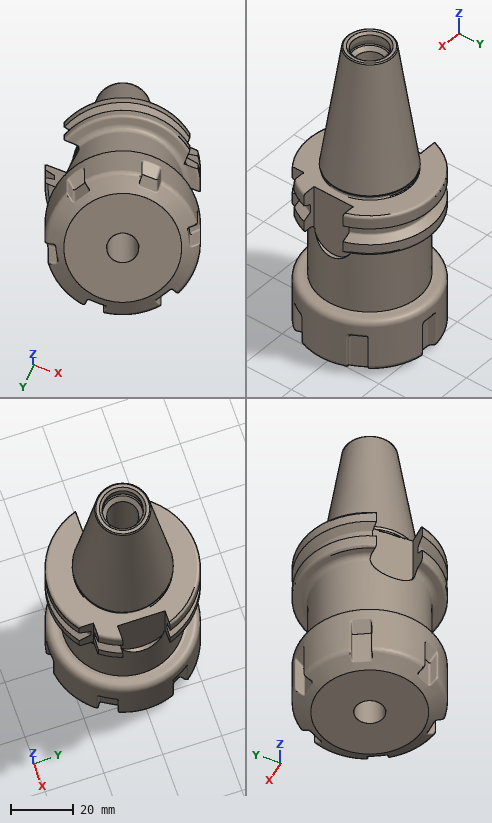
import cadquery as cq
import math

SHANK_TOP = 47.8
SHANK_TIP_RADIUS = 9.05
SHANK_TIP_CHAMFER = 0.4
SHANK_BASE = -1.3
SHANK_BASE_RADIUS = 16.25

NECK_RADIUS = 15.85
NECK_CONE_HEIGHT = 0.8
NECK_FILLET = 0.3

FLANGE_RADIUS = 25.0
FLANGE_TOP = -3.2
FLANGE_BOTTOM = -19.1
FLANGE_FILLET = 1.0
GROOVE_RADIUS = 21.95
GROOVE_CENTRE = -11.2
GROOVE_FLOOR_WIDTH = 3.1
GROOVE_WALL_ANGLE = 30.0
GROOVE_FILLET = 0.5

BODY_RADIUS = 20.0
BODY_FILLET = 2.0

NUT_RADIUS = 25.0
NUT_BOTTOM = -70.0
NUT_HEIGHT = 23.0
NUT_TOP_FILLET = 2.2
NUT_COLLAR_RADIUS = 21.1
NUT_COLLAR_RISE = 0.2
NUT_CONE_HEIGHT = 3.5
NUT_CONE_ANGLE = 30.0
NUT_CONE_FILLET = 2.0

SLOT_COUNT = 6
SLOT_WIDTH = 6.5
SLOT_FLOOR_RADIUS = 21.4
SLOT_FLOOR_TOP = -57.9
SLOT_ROOF_SLOPE = 43.0
SLOT_CORNER_FILLET = 0.65
SLOT_RIM_FILLET = 0.5
LONG_SLOT_EXTRA = 2.1

KEYWAY_WIDTH = 16.1
KEYWAY_END = -27.35
LEFT_KEYWAY_FLOOR = 16.1
RIGHT_KEYWAY_FLOOR = 18.5
NOTCH_OFFSET = 15.1

BORE_RADIUS = 5.15
COUNTERBORE_RADIUS = 6.6
COUNTERBORE_MOUTH_RADIUS = 7.5
COUNTERBORE_DEPTH = 5.2
RELIEF_RADIUS = 7.1
RELIEF_TOP_DEPTH = 3.1
RELIEF_BOTTOM_DEPTH = 5.0
BORE_CONE_END_DEPTH = 6.6

NUT_TOP = NUT_BOTTOM + NUT_HEIGHT


def revolve_about_z(profile):
    return profile.close().revolve(360, (0, 0, 0), (0, 1, 0))


def fillet_circle(solid, edge_radius, edge_z, fillet_radius):
    """Round the circular edge of the given radius and height."""
    tolerance = 0.01

    def is_wanted(edge):
        return (
            abs(edge.radius() - edge_radius) < tolerance
            and abs(edge.Center().z - edge_z) < tolerance
        )

    return solid.edges("%CIRCLE").filter(is_wanted).fillet(fillet_radius)


def make_holder():
    """Turned shank, neck, grooved flange and cylindrical body."""
    floor_half = GROOVE_FLOOR_WIDTH / 2
    groove_depth = FLANGE_RADIUS - GROOVE_RADIUS
    mouth_half = floor_half + groove_depth * math.tan(math.radians(GROOVE_WALL_ANGLE))
    body_end = NUT_BOTTOM + NUT_HEIGHT / 2
    holder = revolve_about_z(
        cq.Workplane("XZ")
        .moveTo(0, body_end)
        .lineTo(BODY_RADIUS, body_end)
        .lineTo(BODY_RADIUS, FLANGE_BOTTOM)
        .lineTo(FLANGE_RADIUS, FLANGE_BOTTOM)
        .lineTo(FLANGE_RADIUS, GROOVE_CENTRE - mouth_half)
        .lineTo(GROOVE_RADIUS, GROOVE_CENTRE - floor_half)
        .lineTo(GROOVE_RADIUS, GROOVE_CENTRE + floor_half)
        .lineTo(FLANGE_RADIUS, GROOVE_CENTRE + mouth_half)
        .lineTo(FLANGE_RADIUS, FLANGE_TOP)
        .lineTo(NECK_RADIUS, FLANGE_TOP)
        .lineTo(NECK_RADIUS, SHANK_BASE - NECK_CONE_HEIGHT)
        .lineTo(SHANK_BASE_RADIUS, SHANK_BASE)
        .lineTo(SHANK_TIP_RADIUS, SHANK_TOP - SHANK_TIP_CHAMFER)
        .lineTo(SHANK_TIP_RADIUS - SHANK_TIP_CHAMFER, SHANK_TOP)
        .lineTo(0, SHANK_TOP)
    )
    holder = fillet_circle(holder, BODY_RADIUS, FLANGE_BOTTOM, BODY_FILLET)
    holder = fillet_circle(holder, NECK_RADIUS, FLANGE_TOP, NECK_FILLET)
    for rim_z in (FLANGE_BOTTOM, FLANGE_TOP):
        holder = fillet_circle(holder, FLANGE_RADIUS, rim_z, FLANGE_FILLET)
    for side in (-1, 1):
        corner_z = GROOVE_CENTRE + side * floor_half
        holder = fillet_circle(holder, GROOVE_RADIUS, corner_z, GROOVE_FILLET)
    return holder


def make_keyway(floor_offset):
    """Round-ended keyway cutter on the +X side, with its flat floor at the given X."""
    end_radius = KEYWAY_WIDTH / 2
    end_centre = KEYWAY_END + end_radius
    depth = FLANGE_RADIUS - floor_offset
    return (
        cq.Workplane("YZ", origin=(floor_offset, 0, 0))
        .moveTo(-end_radius, FLANGE_TOP)
        .lineTo(-end_radius, end_centre)
        .threePointArc((0, KEYWAY_END), (end_radius, end_centre))
        .lineTo(end_radius, FLANGE_TOP)
        .close()
        .extrude(depth)
    )


def make_notch():
    """Square corner notch through the full flange thickness."""
    return (
        cq.Workplane("XY", origin=(NOTCH_OFFSET, -NOTCH_OFFSET, FLANGE_BOTTOM))
        .rect(FLANGE_RADIUS, -FLANGE_RADIUS, centered=False)
        .extrude(FLANGE_TOP - FLANGE_BOTTOM)
    )


def make_nut_blank():
    """Nut with a rounded top, a shallow collar and a conical lower end."""
    tip_radius = NUT_RADIUS - NUT_CONE_HEIGHT / math.tan(math.radians(NUT_CONE_ANGLE))
    cone_top = NUT_BOTTOM + NUT_CONE_HEIGHT
    collar_top = NUT_TOP + NUT_COLLAR_RISE
    blank = revolve_about_z(
        cq.Workplane("XZ")
        .moveTo(0, NUT_BOTTOM)
        .lineTo(tip_radius, NUT_BOTTOM)
        .lineTo(NUT_RADIUS, cone_top)
        .lineTo(NUT_RADIUS, NUT_TOP)
        .lineTo(NUT_COLLAR_RADIUS, NUT_TOP)
        .lineTo(BODY_RADIUS, collar_top)
        .lineTo(0, collar_top)
    )
    blank = fillet_circle(blank, NUT_RADIUS, NUT_TOP, NUT_TOP_FILLET)
    return fillet_circle(blank, NUT_RADIUS, cone_top, NUT_CONE_FILLET)


def make_spanner_slot(floor_top):
    """Slot cutter on the +X side, open outwards and below, with a sloped roof."""
    outer_radius = NUT_RADIUS + SLOT_WIDTH
    roof_rise = (outer_radius - SLOT_FLOOR_RADIUS) * math.tan(math.radians(SLOT_ROOF_SLOPE))
    cutter_bottom = NUT_BOTTOM - SLOT_WIDTH
    cutter = (
        cq.Workplane("XZ", origin=(0, SLOT_WIDTH / 2, 0))
        .moveTo(SLOT_FLOOR_RADIUS, cutter_bottom)
        .lineTo(outer_radius, cutter_bottom)
        .lineTo(outer_radius, floor_top + roof_rise)
        .lineTo(SLOT_FLOOR_RADIUS, floor_top)
        .close()
        .extrude(SLOT_WIDTH)
    )
    floor_edges = cutter.faces("<X").edges("|Z")
    roof_edges = cutter.edges("(not |Y) and (not |X) and (not |Z)")
    return floor_edges.add(roof_edges).fillet(SLOT_CORNER_FILLET)


def is_slot_rim(edge):
    """True for the upright mouth edges of a slot that lies on the +X side."""
    tolerance = 0.01
    centre = edge.Center()
    on_wall = abs(abs(centre.y) - SLOT_WIDTH / 2) < tolerance
    on_outside = abs(math.hypot(centre.x, centre.y) - NUT_RADIUS) < tolerance
    return on_wall and on_outside and centre.x > 0


def make_nut():
    """Nut whose slots on the +Y half are longer than those on the -Y half."""
    nut = make_nut_blank()
    pitch = 360 / SLOT_COUNT
    for index in range(SLOT_COUNT):
        angle = pitch * (index + 0.5)
        floor_top = SLOT_FLOOR_TOP
        if angle < 180:
            floor_top += LONG_SLOT_EXTRA
        nut = nut.rotate((0, 0, 0), (0, 0, 1), -angle)
        nut = nut.cut(make_spanner_slot(floor_top))
        nut = nut.edges("|Z").filter(is_slot_rim).fillet(SLOT_RIM_FILLET)
        nut = nut.rotate((0, 0, 0), (0, 0, 1), angle)
    return nut


def make_bore():
    """Through bore with a chamfered counterbore that flares out below its wall at the shank tip."""
    mouth_chamfer = COUNTERBORE_MOUTH_RADIUS - COUNTERBORE_RADIUS
    return revolve_about_z(
        cq.Workplane("XZ")
        .moveTo(0, NUT_BOTTOM)
        .lineTo(BORE_RADIUS, NUT_BOTTOM)
        .lineTo(BORE_RADIUS, SHANK_TOP - BORE_CONE_END_DEPTH)
        .lineTo(COUNTERBORE_RADIUS, SHANK_TOP - COUNTERBORE_DEPTH)
        .lineTo(RELIEF_RADIUS, SHANK_TOP - RELIEF_BOTTOM_DEPTH)
        .lineTo(COUNTERBORE_RADIUS, SHANK_TOP - RELIEF_TOP_DEPTH)
        .lineTo(COUNTERBORE_RADIUS, SHANK_TOP - mouth_chamfer)
        .lineTo(COUNTERBORE_MOUTH_RADIUS, SHANK_TOP)
        .lineTo(0, SHANK_TOP)
    )


holder = make_holder()
holder = holder.cut(make_keyway(LEFT_KEYWAY_FLOOR).mirror("YZ"))
holder = holder.cut(make_keyway(RIGHT_KEYWAY_FLOOR))
holder = holder.cut(make_notch())
result = holder.union(make_nut()).cut(make_bore())